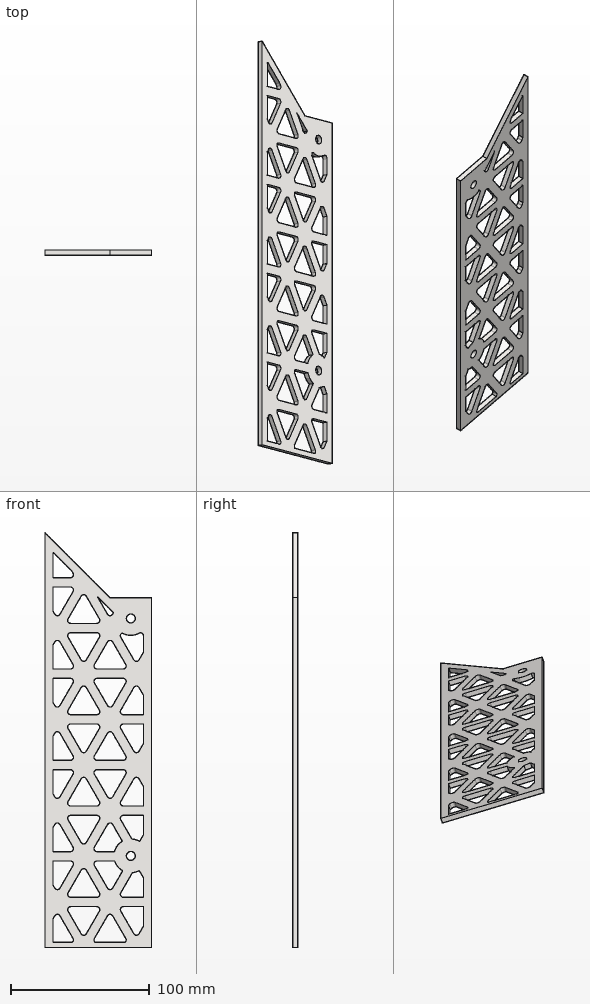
import cadquery as cq
import math

width = 77.0
height = 299.5
thickness = 4.0
point_width = 47.0
shoulder_height = height - point_width

side_border = 6.0
bottom_border = 4.0

triangle_side = 38.0
row_height = triangle_side * math.sqrt(3) / 2
rib_width = 7.0
corner_radius = 2.0
first_triangle_x = 9.0
right_side_rows = 7

hole_diameter = 6.3
pad_radius = 12.3
hole_inset = 15.0
lower_hole_z = 66.2
upper_hole_z = shoulder_height - hole_inset
hole_x = width - hole_inset


def plate_outline():
    """Outline of the plate in the XZ plane."""
    return (
        cq.Workplane("XZ")
        .lineTo(width, 0)
        .lineTo(width, shoulder_height)
        .lineTo(point_width, shoulder_height)
        .lineTo(0, height)
        .close()
    )


def cylinders_at_holes(radius):
    """Cylinders through the plate at both screw hole positions."""
    positions = [(hole_x, lower_hole_z), (hole_x, upper_hole_z)]
    return cq.Workplane("XZ").pushPoints(positions).circle(radius).extrude(-thickness)


def window():
    """Region inside the borders, where the plate may be open."""
    right_x = width - side_border
    diagonal_z = height - side_border * math.sqrt(2)
    top_right_z = right_side_rows * row_height - rib_width / 2
    return (
        cq.Workplane("XZ")
        .moveTo(side_border, bottom_border)
        .lineTo(right_x, bottom_border)
        .lineTo(right_x, top_right_z - corner_radius)
        .tangentArcPoint((-corner_radius, corner_radius))
        .lineTo(hole_x, diagonal_z - hole_x)
        .lineTo(side_border, diagonal_z - side_border)
        .close()
        .extrude(-thickness)
    )


def triangle(center_x, row, points_up):
    """Rounded triangular opening between the ribs of one lattice row."""
    inradius = row_height / 3 - rib_width / 2
    half_base = inradius * math.sqrt(3)
    if points_up:
        direction = 1
        center_z = row * row_height + row_height / 3
    else:
        direction = -1
        center_z = (row + 1) * row_height - row_height / 3
    base_z = center_z - direction * inradius
    apex_z = center_z + direction * 2 * inradius
    return (
        cq.Workplane("XZ")
        .moveTo(center_x - half_base, base_z)
        .lineTo(center_x + half_base, base_z)
        .lineTo(center_x, apex_z)
        .close()
        .extrude(-thickness)
        .edges("|Y")
        .fillet(corner_radius)
    )


def lattice_openings():
    """All triangular openings, trimmed to the window and kept clear of the pads."""
    column_pitch = triangle_side / 2
    rows = math.ceil(height / row_height)
    columns = math.ceil(width / column_pitch)
    triangles = cq.Workplane("XZ")
    for row in range(rows):
        for column in range(columns):
            center_x = first_triangle_x + column * column_pitch
            points_up = (row + column) % 2 == 0
            triangles.add(triangle(center_x, row, points_up))
    return window().intersect(triangles.combine()).cut(cylinders_at_holes(pad_radius))


plate = plate_outline().extrude(-thickness)
result = plate.cut(lattice_openings()).cut(cylinders_at_holes(hole_diameter / 2))